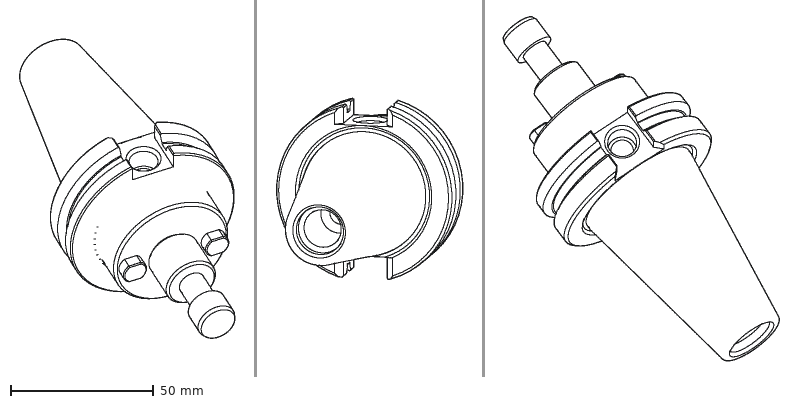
import cadquery as cq
import math


TAPER_RATIO = 7 / 24
GAUGE_RADIUS = 22.22
TAPER_LENGTH = 68.2
SMALL_END_RADIUS = GAUGE_RADIUS - TAPER_LENGTH * TAPER_RATIO / 2
SMALL_END_ROUND = 1.1

FLANGE_RADIUS = 63.3 / 2
FLANGE_START = 68.7
FLANGE_END = 87.3
FLANGE_FRONT_CHAMFER = 1.0
FLANGE_BACK_CHAMFER = 0.6
GROOVE_CENTER = 79.3
GROOVE_FLOOR_RADIUS = 28.3
GROOVE_FLOOR_WIDTH = 3.6
GROOVE_MOUTH_WIDTH = 6.7
GROOVE_FLANK_DEPTH = 2.7

RELIEF_MOUTH_RADIUS = 24.6
RELIEF_DEPTH = 1.0

SLOT_WIDTH = 15.7
SLOT_MOUTH_CHAMFER = 2.6
SLOT_EDGE_BREAK = 0.5
UPPER_SLOT_FLOOR = 24.6
LOWER_SLOT_FLOOR = 22.5

SLOT_HOLE_MOUTH_DIAMETER = 12.3
SLOT_HOLE_DIAMETER = 10.1
SLOT_HOLE_STEP_DIAMETER = 7.9
SLOT_HOLE_MOUTH_DEPTH = 1.3
SLOT_HOLE_DEPTH = 8.6
DRILL_POINT_ANGLE = 118

BOSS_RADIUS = 22.0
BOSS_END = 103.3
BOSS_CHAMFER = 1.0
BOSS_ROOT_ROUND = 0.7
PILOT_RADIUS = 19.0 / 2
PILOT_END = 120.5
PILOT_CHAMFER = 0.9
PILOT_NECK_RADIUS = 16.5 / 2
PILOT_NECK_LENGTH = 0.9
PILOT_SHOULDER_LENGTH = 0.6

BORE_MOUTH_RADIUS = 19.0 / 2
BORE_COUNTERBORE_RADIUS = 17.0 / 2
BORE_RADIUS = 13.5 / 2
BORE_FLOOR_RADIUS = 8.1 / 2
BORE_MOUTH_DEPTH = 1.3
BORE_COUNTERBORE_DEPTH = 4.3
BORE_STEP_DEPTH = 5.5
BORE_DEPTH = 31.5

BOLT_END = 142.9
BOLT_HEAD_LENGTH = 9.9
BOLT_HEAD_RADIUS = 14.1 / 2
BOLT_HEAD_CHAMFER = 0.6
BOLT_HEAD_CHAMFER_LENGTH = 1.5
BOLT_SHANK_RADIUS = 9.6 / 2
BOLT_START = 88.6

DOG_OFFSET = 15.9
DOG_DIAMETER = 9.0
DOG_THICKNESS = 7.7
DOG_LENGTH = 4.1
DOG_CHAMFER = 0.5


def revolve_about_x(profile):
    """Turn a closed (x, radius) outline around the X axis."""
    return profile.close().revolve(360, (0, 0, 0), (1, 0, 0))


def turned_holder():
    relief_floor = FLANGE_START + RELIEF_DEPTH
    half_mouth = GROOVE_MOUTH_WIDTH / 2
    half_floor = GROOVE_FLOOR_WIDTH / 2
    flank_end = FLANGE_RADIUS - GROOVE_FLANK_DEPTH
    neck_end = BOSS_END + PILOT_NECK_LENGTH
    profile = (
        cq.Workplane("XY")
        .lineTo(0, SMALL_END_RADIUS)
        .lineTo(TAPER_LENGTH, GAUGE_RADIUS)
        .lineTo(relief_floor, GAUGE_RADIUS)
        .lineTo(relief_floor, RELIEF_MOUTH_RADIUS - RELIEF_DEPTH)
        .lineTo(FLANGE_START, RELIEF_MOUTH_RADIUS)
        .lineTo(FLANGE_START, FLANGE_RADIUS - FLANGE_FRONT_CHAMFER)
        .lineTo(FLANGE_START + FLANGE_FRONT_CHAMFER, FLANGE_RADIUS)
        .lineTo(GROOVE_CENTER - half_mouth, FLANGE_RADIUS)
        .lineTo(GROOVE_CENTER - half_floor, flank_end)
        .lineTo(GROOVE_CENTER - half_floor, GROOVE_FLOOR_RADIUS)
        .lineTo(GROOVE_CENTER + half_floor, GROOVE_FLOOR_RADIUS)
        .lineTo(GROOVE_CENTER + half_floor, flank_end)
        .lineTo(GROOVE_CENTER + half_mouth, FLANGE_RADIUS)
        .lineTo(FLANGE_END - FLANGE_BACK_CHAMFER, FLANGE_RADIUS)
        .lineTo(FLANGE_END, FLANGE_RADIUS - FLANGE_BACK_CHAMFER)
        .lineTo(FLANGE_END, BOSS_RADIUS + BOSS_ROOT_ROUND)
        .radiusArc((FLANGE_END + BOSS_ROOT_ROUND, BOSS_RADIUS), -BOSS_ROOT_ROUND)
        .lineTo(BOSS_END - BOSS_CHAMFER, BOSS_RADIUS)
        .lineTo(BOSS_END, BOSS_RADIUS - BOSS_CHAMFER)
        .lineTo(BOSS_END, PILOT_NECK_RADIUS)
        .lineTo(neck_end, PILOT_NECK_RADIUS)
        .lineTo(neck_end + PILOT_SHOULDER_LENGTH, PILOT_RADIUS)
        .lineTo(PILOT_END - PILOT_CHAMFER, PILOT_RADIUS)
        .lineTo(PILOT_END, PILOT_RADIUS - PILOT_CHAMFER)
        .lineTo(PILOT_END, 0)
    )
    return revolve_about_x(profile).faces("<X").edges().fillet(SMALL_END_ROUND)


def taper_bore():
    cone_length = BORE_RADIUS - BORE_FLOOR_RADIUS
    profile = (
        cq.Workplane("XY")
        .lineTo(0, BORE_MOUTH_RADIUS)
        .lineTo(BORE_MOUTH_DEPTH, BORE_COUNTERBORE_RADIUS)
        .lineTo(BORE_COUNTERBORE_DEPTH, BORE_COUNTERBORE_RADIUS)
        .lineTo(BORE_STEP_DEPTH, BORE_RADIUS)
        .lineTo(BORE_DEPTH, BORE_RADIUS)
        .lineTo(BORE_DEPTH + cone_length, BORE_FLOOR_RADIUS)
        .lineTo(BORE_DEPTH + cone_length, 0)
    )
    return revolve_about_x(profile)


def drive_slot(floor, side):
    """Slot cutter through the flange; side is +1 for the top and -1 for the bottom."""
    half = SLOT_WIDTH / 2
    rim = math.sqrt(FLANGE_RADIUS**2 - (half + SLOT_EDGE_BREAK) ** 2)
    break_start = rim - SLOT_EDGE_BREAK
    top = FLANGE_RADIUS + SLOT_EDGE_BREAK
    flared_half = half + top - break_start
    channel = (
        cq.Workplane("YZ", origin=(FLANGE_START, 0, 0))
        .polyline([
            (-half, side * floor),
            (half, side * floor),
            (half, side * break_start),
            (flared_half, side * top),
            (-flared_half, side * top),
            (-half, side * break_start),
        ])
        .close()
        .extrude(FLANGE_END - FLANGE_START)
    )
    wide_half = half + SLOT_MOUTH_CHAMFER
    mouth = (
        cq.Workplane("XY", origin=(FLANGE_START, 0, side * floor))
        .polyline([
            (0, -wide_half),
            (SLOT_MOUTH_CHAMFER, -half),
            (SLOT_MOUTH_CHAMFER, half),
            (0, wide_half),
        ])
        .close()
        .extrude(side * (top - floor))
    )
    return channel.union(mouth)


def slot_hole():
    radius = SLOT_HOLE_DIAMETER / 2
    step_radius = SLOT_HOLE_STEP_DIAMETER / 2
    point_length = step_radius / math.tan(math.radians(DRILL_POINT_ANGLE / 2))
    return (
        cq.Workplane("XZ", origin=(GROOVE_CENTER, 0, UPPER_SLOT_FLOOR))
        .lineTo(SLOT_HOLE_MOUTH_DIAMETER / 2, 0)
        .lineTo(radius, -SLOT_HOLE_MOUTH_DEPTH)
        .lineTo(radius, -SLOT_HOLE_DEPTH)
        .lineTo(step_radius, -SLOT_HOLE_DEPTH)
        .lineTo(0, -SLOT_HOLE_DEPTH - point_length)
        .close()
        .revolve(360, (0, 0, 0), (0, 1, 0))
    )


def make_bolt():
    head_start = BOLT_END - BOLT_HEAD_LENGTH
    profile = (
        cq.Workplane("XY")
        .moveTo(BOLT_START, 0)
        .lineTo(BOLT_START, BOLT_SHANK_RADIUS)
        .lineTo(head_start, BOLT_SHANK_RADIUS)
        .lineTo(head_start, BOLT_HEAD_RADIUS)
        .lineTo(BOLT_END - BOLT_HEAD_CHAMFER_LENGTH, BOLT_HEAD_RADIUS)
        .lineTo(BOLT_END, BOLT_HEAD_RADIUS - BOLT_HEAD_CHAMFER)
        .lineTo(BOLT_END, 0)
    )
    return revolve_about_x(profile)


def make_drive_dog(y):
    """Round dog with flats above and below, standing on the boss face."""
    round_dog = (
        cq.Workplane("YZ", origin=(BOSS_END, y, 0))
        .circle(DOG_DIAMETER / 2)
        .extrude(DOG_LENGTH)
    )
    flats = (
        cq.Workplane("YZ", origin=(BOSS_END, y, 0))
        .rect(DOG_DIAMETER, DOG_THICKNESS)
        .extrude(DOG_LENGTH)
    )
    return round_dog.intersect(flats).faces(">X").chamfer(DOG_CHAMFER)


bolt = make_bolt()
holder = (
    turned_holder()
    .cut(taper_bore())
    .cut(drive_slot(UPPER_SLOT_FLOOR, 1))
    .cut(drive_slot(LOWER_SLOT_FLOOR, -1))
    .cut(slot_hole())
    .cut(bolt)
)
drive_dogs = [make_drive_dog(side * DOG_OFFSET) for side in (-1, 1)]

result = cq.Compound.makeCompound([holder.val(), bolt.val(), *[dog.val() for dog in drive_dogs]])